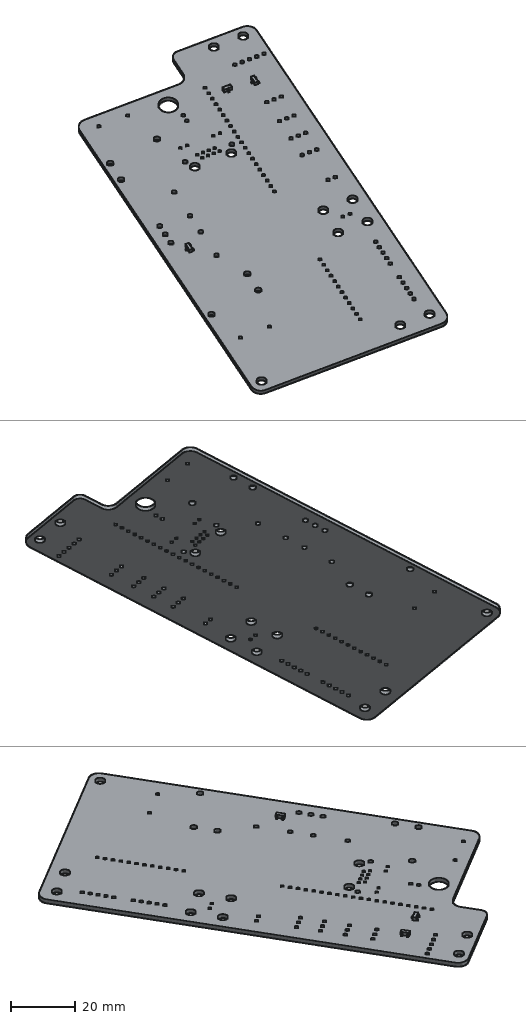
import cadquery as cq


board_length = 138.5
board_width = 68.1
overall_height = 2.9
transistor_height = 1.3
board_thickness = overall_height - transistor_height
corner_radius = 3.3
notch_arm_radius = 2.5
notch_x = -56.8
notch_y = 5.4

signal_hole = 0.89
row_hole = 1.0
relay_hole = 1.1
header_hole = 1.19
shield_hole = 1.5
terminal_hole = 1.7
power_hole = 2.1
mounting_hole = 3.2
cable_hole = 6.2

long_row_count = 20
long_row_length = 48.3
pin_pitch = long_row_length / (long_row_count - 1)
long_row_y = 8.9
long_row_x = -51.8
short_row_count = 12
short_row_x = 28.3
five_pin_count = 5
three_pin_count = 3
pair_count = 2
top_header_y = 27.7
top_header_xs = (29.5, 46.0)
side_header_x = -56.2
side_header_top_y = 31.7
three_pin_xs = (-37.8, -29.0, -20.9, -13.2)
two_pin_x = -0.3
pin_header_top_y = 28.5
jumper_x = 15.5
jumper_top_y = 25.8
sensor_x = -44.6
sensor_y = -2.4

mounting_xs = (-65.8, 10.4, 20.8, 64.0)
mounting_upper_y = 29.2
mounting_lower_y = 19.0
corner_mounting_hole = (65.4, -30.2)
cable_hole_place = (-50.5, -4.6)

socket_y = -2.4
socket_post_x = -23.8
socket_post_offset = 6.4
socket_shield_x = -27.0
socket_shield_offset = 8.2
socket_lamp_x = -32.8
socket_lamp_offsets = (4.6, 6.9)
contact_pairs = 4
contact_column_length = 6.1
contact_pitch = contact_column_length / (contact_pairs - 1)
contact_column_xs = (-28.0, -26.2)
contact_first_ys = (-5.8, -5.0)

relay_xs = (-52.4, 46.3)
relay_ys = (-17.9, -28.0)
coil_xs = (-17.3, -6.2, 1.2, 12.2)
coil_y = -19.3
terminal_count = 3
terminal_first_x = -6.6
terminal_pitch = 3.9
terminal_y = -29.6
power_upper_xs = (-39.5, 23.4, 31.0)
power_upper_y = -14.1
power_lower_xs = (-37.0, -29.4, 33.5)
power_lower_y = -31.7

case_length = 2.9
case_width = 1.3
lead_span = 2.4
parting_height = transistor_height / 2
case_draft = 0.07
lead_width = 0.48
lead_thickness = 0.2
lead_pitch = 2.0
foot_length = 0.4
lead_exit_height = parting_height + lead_thickness / 2
transistor_places = ((-47.1, 23.8, 0), (-47.9, 14.7, 90), (6.1, -25.8, 0))


def row(x, y, count, step_x, step_y):
    """Points of a straight row, starting at (x, y)."""
    return [(x + i * step_x, y + i * step_y) for i in range(count)]


def grid(xs, ys):
    """Points at every crossing of the given columns and rows."""
    return [(x, y) for x in xs for y in ys]


def mirrored(x, middle_y, offset):
    """Two points at the same distance above and below a middle line."""
    return [(x, middle_y + offset), (x, middle_y - offset)]


def board_blank():
    left = -board_length / 2
    right = board_length / 2
    bottom = -board_width / 2
    top = board_width / 2
    round_corners = [(left, top), (right, top), (right, bottom), (notch_x, bottom), (notch_x, notch_y)]
    arm_corner = (left, notch_y)
    outline = [*round_corners, arm_corner]
    blank = cq.Workplane("XY").polyline(outline).close().extrude(board_thickness)
    arm_edge = cq.selectors.NearestToPointSelector((*arm_corner, 0))
    blank = blank.edges("|Z").edges(arm_edge).fillet(notch_arm_radius)
    for corner in round_corners:
        corner_edge = cq.selectors.NearestToPointSelector((*corner, 0))
        blank = blank.edges("|Z").edges(corner_edge).fillet(corner_radius)
    return blank


def header_holes():
    points = row(side_header_x, side_header_top_y, five_pin_count, 0, -pin_pitch)
    for x in top_header_xs:
        points += row(x, top_header_y, five_pin_count, pin_pitch, 0)
    for x in three_pin_xs:
        points += row(x, pin_header_top_y, three_pin_count, 0, -pin_pitch)
    points += row(two_pin_x, pin_header_top_y, pair_count, 0, -pin_pitch)
    points += row(sensor_x, sensor_y, pair_count, pin_pitch, 0)
    return points


def row_holes():
    points = row(long_row_x, long_row_y, long_row_count, pin_pitch, 0)
    points += row(short_row_x, long_row_y, short_row_count, pin_pitch, 0)
    points += row(jumper_x, jumper_top_y, pair_count, 0, -pin_pitch)
    return points


def signal_holes():
    points = []
    for x, first_y in zip(contact_column_xs, contact_first_ys):
        points += row(x, first_y, contact_pairs, 0, contact_pitch)
    for offset in socket_lamp_offsets:
        points += mirrored(socket_lamp_x, socket_y, offset)
    return points


def mounting_holes():
    points = grid(mounting_xs, (mounting_upper_y, mounting_lower_y))
    points += mirrored(socket_post_x, socket_y, socket_post_offset)
    points.append(corner_mounting_hole)
    return points


def make_board():
    shield_points = mirrored(socket_shield_x, socket_y, socket_shield_offset) + grid(coil_xs, (coil_y,))
    terminal_points = row(terminal_first_x, terminal_y, terminal_count, terminal_pitch, 0)
    power_points = grid(power_upper_xs, (power_upper_y,)) + grid(power_lower_xs, (power_lower_y,))
    holes = (
        (signal_hole, signal_holes()),
        (row_hole, row_holes()),
        (relay_hole, grid(relay_xs, relay_ys)),
        (header_hole, header_holes()),
        (shield_hole, shield_points),
        (terminal_hole, terminal_points),
        (power_hole, power_points),
        (mounting_hole, mounting_holes()),
        (cable_hole, [cable_hole_place]),
    )
    board = board_blank()
    for diameter, points in holes:
        cutters = cq.Workplane("XY").pushPoints(points).circle(diameter / 2).extrude(board_thickness)
        board = board.cut(cutters)
    return board


def make_lead(x, side):
    """Bent lead: foot on the board, riser, then a short arm into the case; side is +1 or -1 along Y."""
    tip = lead_span / 2
    heel = tip - foot_length
    wall = case_width / 2
    inside = wall / 2
    profile = [
        (tip, 0),
        (tip, lead_thickness),
        (heel + lead_thickness, lead_thickness),
        (heel + lead_thickness, lead_exit_height),
        (inside, lead_exit_height),
        (inside, lead_exit_height - lead_thickness),
        (heel, lead_exit_height - lead_thickness),
        (heel, 0),
    ]
    points = [(side * y, z) for y, z in profile]
    plane = cq.Workplane("YZ", origin=(x - lead_width / 2, 0, 0))
    return plane.polyline(points).close().extrude(lead_width)


def case_half(end_z):
    """Part of the case from the parting line to its smaller face at end_z."""
    parting = cq.Workplane("XY", origin=(0, 0, parting_height)).rect(case_length, case_width)
    face = parting.workplane(offset=end_z - parting_height)
    return face.rect(case_length - 2 * case_draft, case_width - 2 * case_draft).loft()


def make_case():
    return case_half(transistor_height).union(case_half(0))


def make_transistor(x, y, turn):
    body = make_case()
    for lead_x, side in ((-lead_pitch / 2, 1), (lead_pitch / 2, 1), (0, -1)):
        body = body.union(make_lead(lead_x, side))
    return body.rotate((0, 0, 0), (0, 0, 1), turn).translate((x, y, board_thickness))


board = make_board()
transistors = [make_transistor(*place) for place in transistor_places]
result = cq.Compound.makeCompound([board.val(), *[transistor.val() for transistor in transistors]])